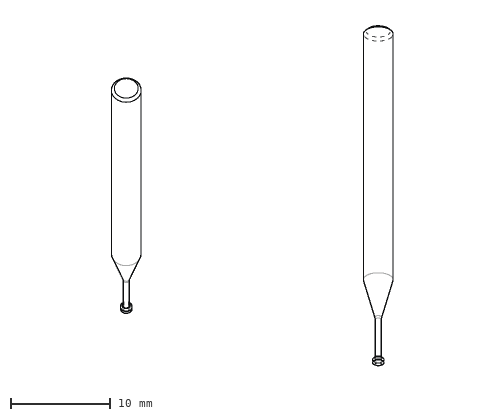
import cadquery as cq
import math

overall_length = 38.0
shank_diameter = 3.0
shank_chamfer = 0.3
neck_diameter = 0.64

tip_diameter = 0.64
head_top_diameter = 0.79
tooth_diameter = 1.19
root_diameter = 0.79
root_width = 0.04
tooth_count = 2
thread_pitch = 0.35
first_crest_z = 0.18
top_flank_height = 0.2

taper_top_z = 9.64
taper_half_angle = math.radians(15)
blend_radius = 1.0

shank_radius = shank_diameter / 2
neck_radius = neck_diameter / 2
tip_radius = tip_diameter / 2
head_top_radius = head_top_diameter / 2
tooth_radius = tooth_diameter / 2
root_radius = root_diameter / 2
head_length = first_crest_z + (tooth_count - 1) * thread_pitch + top_flank_height


def draw_cutting_head(profile):
    """Add the flat tip, the sharp crests with a flat root between them, and the last flank."""
    profile = profile.lineTo(tip_radius, 0)
    for index in range(tooth_count):
        crest_z = first_crest_z + index * thread_pitch
        if index > 0:
            root_z = crest_z - thread_pitch / 2
            profile = profile.lineTo(root_radius, root_z - root_width / 2)
            profile = profile.lineTo(root_radius, root_z + root_width / 2)
        profile = profile.lineTo(tooth_radius, crest_z)
    return profile.lineTo(head_top_radius, head_length)


def draw_neck_and_taper(profile):
    """Add the neck, the arc tangent to neck and taper, and the taper itself."""
    taper_height = (shank_radius - neck_radius) / math.tan(taper_half_angle)
    neck_corner_z = taper_top_z - taper_height
    blend_start_z = neck_corner_z - blend_radius * math.tan(taper_half_angle / 2)

    def blend_point(angle):
        radius = neck_radius + blend_radius * (1 - math.cos(angle))
        return radius, blend_start_z + blend_radius * math.sin(angle)

    return (
        profile.lineTo(neck_radius, head_length)
        .lineTo(neck_radius, blend_start_z)
        .threePointArc(blend_point(taper_half_angle / 2), blend_point(taper_half_angle))
        .lineTo(shank_radius, taper_top_z)
    )


def draw_shank(profile):
    """Add the cylindrical shank with its chamfered top."""
    return (
        profile.lineTo(shank_radius, overall_length - shank_chamfer)
        .lineTo(shank_radius - shank_chamfer, overall_length)
        .lineTo(0, overall_length)
    )


profile = cq.Workplane("XZ").moveTo(0, 0)
profile = draw_cutting_head(profile)
profile = draw_neck_and_taper(profile)
profile = draw_shank(profile)

result = profile.close().revolve(360, (0, 0, 0), (0, 1, 0))